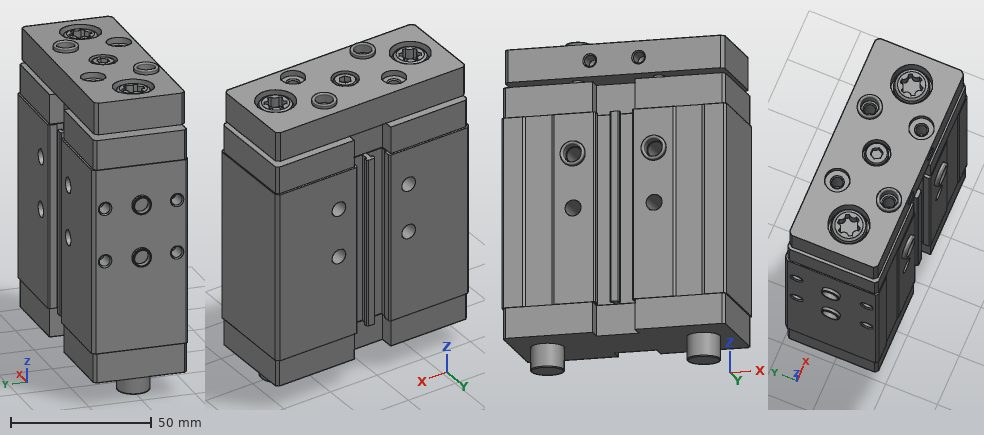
import cadquery as cq
import math

ROD_OVERHANG = 8.8
CAP_HEIGHT = 11.2
PROFILE_LENGTH = 70.0
YOKE_GAP = 2.0
YOKE_HEIGHT = 12.0
PROFILE_BOTTOM = ROD_OVERHANG + CAP_HEIGHT
PROFILE_TOP = PROFILE_BOTTOM + PROFILE_LENGTH
CAP_TOP = PROFILE_TOP + CAP_HEIGHT
YOKE_BOTTOM = CAP_TOP + YOKE_GAP
YOKE_TOP = YOKE_BOTTOM + YOKE_HEIGHT

PROFILE_HALF_WIDTH = 41.5
PROFILE_FRONT = -17.9
PROFILE_BACK = 18.3
PROFILE_FRONT_CHAMFER = 0.9
PROFILE_BACK_CHAMFER = 1.3
CAP_WIDTH = 82.0
CAP_DEPTH = 35.0
CAP_CHAMFER = 1.0
YOKE_WIDTH = 81.1
YOKE_DEPTH = 34.1
YOKE_CHAMFER = 1.3

CAP_SLOT_HALF_WIDTH = 7.8
CAP_SLOT_FLOOR = 12.1
SLOT_FLOOR = 12.5
SLOT_HALF_WIDTH = 7.4
LIP_HALF_GAP = 6.8
LIP_INNER = 15.1
LIP_CHAMFER = 0.6
RIB_STEM_HALF_WIDTH = 0.9
RIB_HEAD_HALF_WIDTH = 1.8
RIB_TOP = 16.7
RIB_CHAMFER = 0.5

RECESS_INNER = 22.0
RECESS_OUTER = 33.5
RECESS_DEPTH = 0.4
RECESS_SLOPE = 0.9

ROD_DIAMETER = 12.0
ROD_X = 28.8
ROD_Y = -1.4
ROD_CHAMFER = 0.4
PISTON_DIAMETER = 8.0
HEAD_RECESS_DIAMETER = 15.0
HEAD_RECESS_DEPTH = 5.8
HEAD_DIAMETER = 13.0
HEAD_SHOULDER_DIAMETER = 12.0
HEAD_FACE_DIAMETER = 10.0
HEAD_SUNK = 0.7
HEAD_SHOULDER_DROP = 0.5
HEAD_EDGE_DROP = 1.4
STAR_TIP_RADIUS = 4.1
STAR_VALLEY_RADIUS = 3.0
STAR_SCALLOP_RADIUS = 1.6
STAR_LOBES = 6
STAR_DEPTH = 4.0
PISTON_RECESS_DIAMETER = 10.0
PISTON_RECESS_DEPTH = 3.0
PISTON_END_DIAMETER = 8.5
PISTON_END_CHAMFER = 0.5
PISTON_END_SUNK = 0.4
HEX_ACROSS_FLATS = 4.0
HEX_DEPTH = 2.3

PITCH = 20.0
MOUNT_X = 15.0
YOKE_HOLE_Y = -1.0
THREAD_DIAMETER = 4.1
THREAD_MOUTH_DIAMETER = 5.0
THREAD_DEPTH = 7.0
DRILL_TIP_ANGLE = 118
YOKE_FRONT_HOLE_X = 9.0
SIDE_HOLE_Y = 13.5
PORT_UPPER_Z = 75.0
PORT_LOWER_Z = PORT_UPPER_Z - PITCH
THROUGH_HOLE_DIAMETER = 5.8
SLEEVE_DIAMETER = 9.0
SLEEVE_BORE = 6.5
SLEEVE_SEAT_DEPTH = 2.2
SLEEVE_OVERHANG = 1.6

PLUG_DIAMETER = 7.0
PLUG_BORE = 5.8
PLUG_OVERHANG = 1.4
PLUG_SEAT_DEPTH = 3.0
PLUG_BORE_DEPTH = 2.3
PLUG_CHAMFER = 0.2

UP = cq.Vector(0, 0, 1)
INTO_YOKE = cq.Vector(0, 0, -1)
FROM_FRONT = cq.Vector(0, 1, 0)
FROM_SIDE = cq.Vector(1, 0, 0)
ROD_POINTS = [(-ROD_X, ROD_Y), (ROD_X, ROD_Y)]
YOKE_SLEEVE_POINTS = [
    (-MOUNT_X, YOKE_HOLE_Y - PITCH / 2),
    (MOUNT_X, YOKE_HOLE_Y + PITCH / 2),
]
YOKE_MOUNT_POINTS = YOKE_SLEEVE_POINTS + [
    (-MOUNT_X, YOKE_HOLE_Y + PITCH / 2),
    (MOUNT_X, YOKE_HOLE_Y - PITCH / 2),
]


def cylinder(point, direction, diameter, length):
    """A cylinder that starts at a point and runs along a direction."""
    return cq.Workplane(obj=cq.Solid.makeCylinder(diameter / 2, length, cq.Vector(*point), direction))


def cone(point, direction, start_diameter, end_diameter, length):
    """A cone frustum, or a full cone when its end diameter is 0."""
    return cq.Workplane(
        obj=cq.Solid.makeCone(start_diameter / 2, end_diameter / 2, length, cq.Vector(*point), direction)
    )


def thread_mouth(point, direction):
    """The countersink that opens a threaded hole."""
    depth = (THREAD_MOUTH_DIAMETER - THREAD_DIAMETER) / 2
    return cone(point, direction, THREAD_MOUTH_DIAMETER, THREAD_DIAMETER, depth)


def blind_thread(point, direction):
    """A countersunk blind hole that ends in a drill tip."""
    tip_length = THREAD_DIAMETER / 2 / math.tan(math.radians(DRILL_TIP_ANGLE / 2))
    tip_start = cq.Vector(*point) + direction * THREAD_DEPTH
    tip = cone(tip_start.toTuple(), direction, THREAD_DIAMETER, 0, tip_length)
    hole = cylinder(point, direction, THREAD_DIAMETER, THREAD_DEPTH)
    return hole.union(tip).union(thread_mouth(point, direction))


def cap_plan():
    """The end cap outline with a plain slot at the front and back."""
    cap = cq.Workplane().box(CAP_WIDTH, CAP_DEPTH, CAP_HEIGHT, centered=(True, True, False))
    cap = cap.edges("|Z").chamfer(CAP_CHAMFER)
    slot_width = 2 * CAP_SLOT_HALF_WIDTH
    slot_depth = CAP_DEPTH / 2 - CAP_SLOT_FLOOR
    for side in (-1, 1):
        slot = cq.Workplane().box(slot_width, slot_depth, CAP_HEIGHT, centered=(True, True, False))
        cap = cap.cut(slot.translate((0, side * (CAP_SLOT_FLOOR + slot_depth / 2), 0)))
    return cap


def rod_holes(bottom, height):
    """Clearance-free guide holes for the two rods."""
    holes = cq.Workplane("XY", origin=(0, 0, bottom)).pushPoints(ROD_POINTS)
    return holes.circle(ROD_DIAMETER / 2).extrude(height)


def make_lower_cap():
    return cap_plan().translate((0, 0, ROD_OVERHANG)).cut(rod_holes(ROD_OVERHANG, CAP_HEIGHT))


def make_upper_cap():
    piston_hole = cylinder((0, 0, PROFILE_TOP), UP, PISTON_DIAMETER, CAP_HEIGHT)
    return cap_plan().translate((0, 0, PROFILE_TOP)).cut(rod_holes(PROFILE_TOP, CAP_HEIGHT)).cut(piston_hole)


def half_slot(side, face):
    """One undercut channel of a sensor slot, to the left or right of its rib; Y counts outward."""
    mouth = LIP_HALF_GAP + LIP_CHAMFER
    outline = [
        (0, face),
        (0, RIB_TOP),
        (RIB_HEAD_HALF_WIDTH - RIB_CHAMFER, RIB_TOP),
        (RIB_HEAD_HALF_WIDTH, RIB_TOP - RIB_CHAMFER),
        (RIB_HEAD_HALF_WIDTH, LIP_INNER),
        (RIB_STEM_HALF_WIDTH, LIP_INNER),
        (RIB_STEM_HALF_WIDTH, SLOT_FLOOR),
        (SLOT_HALF_WIDTH, SLOT_FLOOR),
        (SLOT_HALF_WIDTH, LIP_INNER),
        (LIP_HALF_GAP, LIP_INNER),
        (LIP_HALF_GAP, face - LIP_CHAMFER),
        (mouth, face),
    ]
    outline = [(side * x, y) for x, y in outline]
    return cq.Workplane("XY", origin=(0, 0, PROFILE_BOTTOM)).polyline(outline).close().extrude(PROFILE_LENGTH)


def front_recess(side):
    """A shallow recess with sloped sides along the whole profile."""
    floor = PROFILE_FRONT + RECESS_DEPTH
    outline = [
        (side * RECESS_INNER, PROFILE_FRONT),
        (side * (RECESS_INNER + RECESS_SLOPE), floor),
        (side * (RECESS_OUTER - RECESS_SLOPE), floor),
        (side * RECESS_OUTER, PROFILE_FRONT),
    ]
    return cq.Workplane("XY", origin=(0, 0, PROFILE_BOTTOM)).polyline(outline).close().extrude(PROFILE_LENGTH)


def make_profile():
    depth = PROFILE_BACK - PROFILE_FRONT
    profile = cq.Workplane().box(2 * PROFILE_HALF_WIDTH, depth, PROFILE_LENGTH, centered=(True, False, False))
    profile = profile.translate((0, PROFILE_FRONT, PROFILE_BOTTOM))
    profile = profile.edges("|Z and <Y").chamfer(PROFILE_FRONT_CHAMFER)
    profile = profile.edges("|Z and >Y").chamfer(PROFILE_BACK_CHAMFER)

    for side in (-1, 1):
        profile = profile.cut(half_slot(side, -PROFILE_FRONT).mirror("XZ"))
        profile = profile.cut(half_slot(side, PROFILE_BACK))
        profile = profile.cut(front_recess(side))

    profile = profile.cut(rod_holes(PROFILE_BOTTOM, PROFILE_LENGTH))
    profile = profile.cut(cylinder((0, 0, PROFILE_BOTTOM), UP, PISTON_DIAMETER, PROFILE_LENGTH))

    for x in (-MOUNT_X, MOUNT_X):
        for z in (PORT_LOWER_Z, PORT_UPPER_Z):
            profile = profile.cut(cylinder((x, PROFILE_FRONT, z), FROM_FRONT, THROUGH_HOLE_DIAMETER, depth))
        seat = cylinder((x, PROFILE_FRONT, PORT_UPPER_Z), FROM_FRONT, SLEEVE_DIAMETER, SLEEVE_SEAT_DEPTH)
        profile = profile.cut(seat)

    for z in (PORT_LOWER_Z, PORT_UPPER_Z):
        for y in (-SIDE_HOLE_Y, SIDE_HOLE_Y):
            profile = profile.cut(blind_thread((-PROFILE_HALF_WIDTH, y, z), FROM_SIDE))
        plug_seat = cylinder((-PROFILE_HALF_WIDTH, 0, z), FROM_SIDE, PLUG_DIAMETER, PLUG_SEAT_DEPTH)
        profile = profile.cut(plug_seat)
    return profile


def star_socket(x, y, top):
    """A six-lobed socket: a round pocket with a scallop left between each two tips."""
    plane = cq.Workplane("XY", origin=(x, y, top - STAR_DEPTH))
    scallop_centres = 2 * (STAR_VALLEY_RADIUS + STAR_SCALLOP_RADIUS)
    scallops = plane.polygon(STAR_LOBES, scallop_centres, forConstruction=True).vertices()
    scallops = scallops.circle(STAR_SCALLOP_RADIUS).extrude(STAR_DEPTH)
    return plane.circle(STAR_TIP_RADIUS).extrude(STAR_DEPTH).cut(scallops)


def rod_head(x, y):
    """The drive head that stands in a yoke recess above a guide rod, bevelled in two steps."""
    face_z = YOKE_TOP - HEAD_SUNK
    shoulder_z = face_z - HEAD_SHOULDER_DROP
    edge_z = face_z - HEAD_EDGE_DROP
    floor_z = YOKE_TOP - HEAD_RECESS_DEPTH
    outline = [
        (0, floor_z),
        (HEAD_DIAMETER / 2, floor_z),
        (HEAD_DIAMETER / 2, edge_z),
        (HEAD_SHOULDER_DIAMETER / 2, shoulder_z),
        (HEAD_FACE_DIAMETER / 2, face_z),
        (0, face_z),
    ]
    head = cq.Workplane("XZ").polyline(outline).close().revolve(360, (0, 0, 0), (0, 1, 0))
    return head.translate((x, y, 0)).cut(star_socket(x, y, face_z))


def piston_end():
    """The chamfered end of the piston rod, with a hexagon socket."""
    floor_z = YOKE_TOP - PISTON_RECESS_DEPTH
    top_z = YOKE_TOP - PISTON_END_SUNK
    end = cylinder((0, 0, floor_z), UP, PISTON_END_DIAMETER, top_z - floor_z)
    end = end.faces(">Z").chamfer(PISTON_END_CHAMFER)
    hex_corners = HEX_ACROSS_FLATS / math.cos(math.radians(30))
    socket = cq.Workplane("XY", origin=(0, 0, top_z - HEX_DEPTH)).polygon(6, hex_corners).extrude(HEX_DEPTH)
    return end.cut(socket)


def make_slide():
    """The moving body: the yoke with its two guide rods and its piston rod."""
    slide = cq.Workplane().box(YOKE_WIDTH, YOKE_DEPTH, YOKE_HEIGHT, centered=(True, True, False))
    slide = slide.edges("|Z").chamfer(YOKE_CHAMFER).translate((0, 0, YOKE_BOTTOM))

    for x, y in ROD_POINTS:
        rod = cylinder((x, y, 0), UP, ROD_DIAMETER, YOKE_BOTTOM).faces("<Z").chamfer(ROD_CHAMFER)
        recess = cylinder((x, y, YOKE_TOP), INTO_YOKE, HEAD_RECESS_DIAMETER, HEAD_RECESS_DEPTH)
        slide = slide.union(rod).cut(recess).union(rod_head(x, y))

    piston = cylinder((0, 0, PROFILE_BOTTOM), UP, PISTON_DIAMETER, YOKE_BOTTOM - PROFILE_BOTTOM)
    recess = cylinder((0, 0, YOKE_TOP), INTO_YOKE, PISTON_RECESS_DIAMETER, PISTON_RECESS_DEPTH)
    slide = slide.union(piston).cut(recess).union(piston_end())

    for x, y in YOKE_MOUNT_POINTS:
        seat_floor = (x, y, YOKE_TOP - SLEEVE_SEAT_DEPTH)
        slide = slide.cut(cylinder((x, y, YOKE_TOP), INTO_YOKE, SLEEVE_DIAMETER, SLEEVE_SEAT_DEPTH))
        slide = slide.cut(thread_mouth(seat_floor, INTO_YOKE))
        slide = slide.cut(cylinder(seat_floor, INTO_YOKE, THREAD_DIAMETER, YOKE_HEIGHT - SLEEVE_SEAT_DEPTH))
    for x in (-YOKE_FRONT_HOLE_X, YOKE_FRONT_HOLE_X):
        middle_z = YOKE_BOTTOM + YOKE_HEIGHT / 2
        slide = slide.cut(blind_thread((x, -YOKE_DEPTH / 2, middle_z), FROM_FRONT))
    return slide


def make_sleeve():
    """A centring sleeve with a fully rounded rim; Z = 0 is the face that it is pressed into."""
    inner = SLEEVE_BORE / 2
    outer = SLEEVE_DIAMETER / 2
    rim_radius = (outer - inner) / 2
    shoulder_z = SLEEVE_OVERHANG - rim_radius
    section = cq.Workplane("XZ").moveTo(-inner, -SLEEVE_SEAT_DEPTH).lineTo(-outer, -SLEEVE_SEAT_DEPTH)
    section = section.lineTo(-outer, shoulder_z)
    section = section.threePointArc((-inner - rim_radius, SLEEVE_OVERHANG), (-inner, shoulder_z)).close()
    return section.revolve(360, (0, 0, 0), (0, 1, 0))


def make_plug(z):
    """A cup-shaped plug in a port of the -X side, open outward."""
    outer_x = -PROFILE_HALF_WIDTH - PLUG_OVERHANG
    plug = cylinder((outer_x, 0, z), FROM_SIDE, PLUG_DIAMETER, PLUG_OVERHANG + PLUG_SEAT_DEPTH)
    plug = plug.faces("<X").chamfer(PLUG_CHAMFER)
    return plug.cut(cylinder((outer_x, 0, z), FROM_SIDE, PLUG_BORE, PLUG_BORE_DEPTH))


lower_cap = make_lower_cap()
profile = make_profile()
upper_cap = make_upper_cap()
slide = make_slide()

sleeves = []
for x, y in YOKE_SLEEVE_POINTS:
    sleeves.append(make_sleeve().translate((x, y, YOKE_TOP)))
for x in (-MOUNT_X, MOUNT_X):
    front_sleeve = make_sleeve().rotate((0, 0, 0), (1, 0, 0), 90)
    sleeves.append(front_sleeve.translate((x, PROFILE_FRONT, PORT_UPPER_Z)))

plugs = [make_plug(z) for z in (PORT_LOWER_Z, PORT_UPPER_Z)]

result = cq.Compound.makeCompound(
    [
        lower_cap.val(),
        profile.val(),
        upper_cap.val(),
        slide.val(),
        *[sleeve.val() for sleeve in sleeves],
        *[plug.val() for plug in plugs],
    ]
)